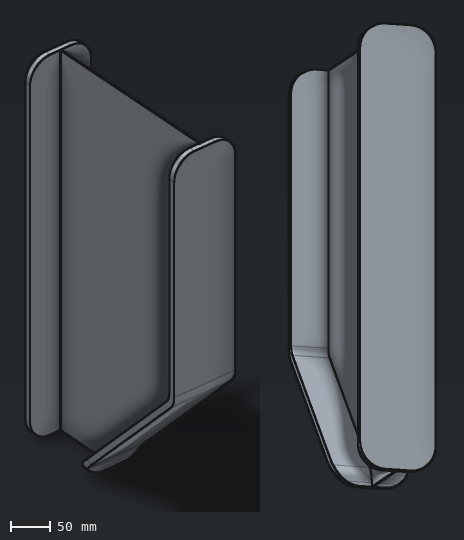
import cadquery as cq
import math

LENGTH_X = 300.0
HEIGHT = 583.5
WEB_THICKNESS = 1.5
FLANGE_OVERHANG = 50.0
DEPTH_Y = WEB_THICKNESS + 2 * FLANGE_OVERHANG

FLANGE_THICKNESS = 10.0
CORNER_RADIUS = 33.5

NECK_X = 117.5
LOWER_BEND_Z = 14.0
UPPER_BEND_Z = 207.5
LOWER_BEND_RADIUS = 22.0
UPPER_BEND_RADIUS = 30.0

SLOPE_ANGLE = math.atan2(LENGTH_X - NECK_X, UPPER_BEND_Z - LOWER_BEND_Z)


def upright_plate(length, depth):
    """Upright block of full height starting at X = 0 and centred on Y = 0."""
    return cq.Workplane("XY").box(length, depth, HEIGHT, centered=(False, True, False))


def block_inside_bent_flange(inset):
    """Full-depth block from X = 0 to a face lying inset inside the bent flange's outer face."""
    corner_rise = inset * math.tan(SLOPE_ANGLE / 2)
    lower_bend = (NECK_X - inset, LOWER_BEND_Z + corner_rise)
    upper_bend = (LENGTH_X - inset, UPPER_BEND_Z + corner_rise)
    outline = [
        (0, 0),
        (lower_bend[0], 0),
        lower_bend,
        upper_bend,
        (upper_bend[0], HEIGHT),
        (0, HEIGHT),
    ]
    block = cq.Workplane("XZ").polyline(outline).close().extrude(DEPTH_Y / 2, both=True)
    block = round_bend(block, lower_bend, LOWER_BEND_RADIUS + inset)
    return round_bend(block, upper_bend, UPPER_BEND_RADIUS - inset)


def round_bend(block, corner, radius):
    """Round the edge along Y that passes through the given (X, Z) corner."""
    corner_point = (corner[0], 0, corner[1])
    return block.edges("|Y").edges(cq.selectors.NearestToPointSelector(corner_point)).fillet(radius)


def make_flanges(web_block):
    """Left side plate and bent flange, with their corners rounded as seen along X."""
    side_plate = upright_plate(FLANGE_THICKNESS, DEPTH_Y)
    bent_flange = block_inside_bent_flange(0).cut(web_block)
    rounded_envelope = upright_plate(LENGTH_X, DEPTH_Y).edges("|X").fillet(CORNER_RADIUS)
    return side_plate.union(bent_flange).intersect(rounded_envelope)


def make_web(web_block):
    """Thin central plate filling the space between the two flanges."""
    return upright_plate(LENGTH_X, WEB_THICKNESS).intersect(web_block)


space_inside_flange = block_inside_bent_flange(FLANGE_THICKNESS)
result = make_flanges(space_inside_flange).union(make_web(space_inside_flange))